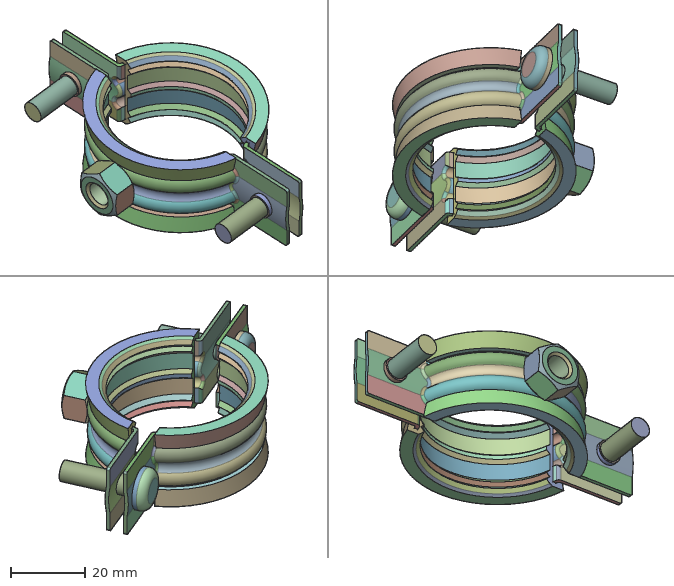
import cadquery as cq
import math

overall_length = 87.0
arc_offset = 1.9
reach = 174.0

strap_height = 20.3
strap_thickness = 1.05
strap_inner_radius = 23.0
strap_outer_radius = strap_inner_radius + strap_thickness
bead_radius = 2.5
bead_center_z = 3.7
bead_center_radius = 23.4
plug_diameter = 3.5
plug_root = 0.4

tab_inner_y = 1.9
tab_outer_y = tab_inner_y + strap_thickness
band_half_height = 4.3
band_rise = 0.4
tab_corner_radius = 0.6
bend_inner_radius = 1.0
bend_outer_radius = 0.8
bend_margin = 0.1
collar_diameter = 7.0
collar_end_y = 4.5

lining_height = 23.2
lining_outer_radius = 26.4
lip_end_radius = 25.4
lip_end_z = 6.7
lining_end_y = 3.8
lining_ribs = [
    (22.8, lining_height / 2),
    (21.9, 11.05),
    (20.9, 10.0),
    (21.9, 8.9),
    (20.9, 7.9),
    (22.0, 6.6),
    (22.0, 1.6),
    (20.9, 0.6),
]

screw_x = 35.0
shank_diameter = 6.0
shank_end_y = -18.9
head_diameter = 12.1
head_seat_y = tab_outer_y + band_rise
head_height = 3.7
head_edge_radius = 2.4

nut_across_flats = 13.0
nut_base_y = -23.05
nut_end_y = -31.1
nut_face_diameter = 11.7
nut_chamfer_angle = 30.0
nut_turn = 30.0
nut_bore_diameter = 6.7
nut_bore_mouth_diameter = 8.2


def half_ring(profile, end_y):
    """Revolve a radius-height profile and keep the half ring beyond end_y, on the +Y side."""
    ring = profile.close().revolve(360, (0, 0, 0), (0, 1, 0)).translate((0, -arc_offset, 0))
    keep = cq.Workplane("XY").box(reach, reach, reach).translate((0, end_y + reach / 2, 0))
    return ring.intersect(keep)


def beaded_edge(profile, depth):
    """Draw the beaded strap surface from top to bottom, `depth` inside the outer surface."""
    base = strap_outer_radius - depth
    bead = bead_radius - depth
    step = bead_center_radius - strap_outer_radius
    groove_outer = (bead_center_z**2 + step**2 - bead_radius**2) / (2 * (bead_radius + step))
    groove_center = strap_outer_radius + groove_outer
    share = bead / (groove_outer + bead_radius)
    tangent_r = bead_center_radius + share * (groove_center - bead_center_radius)
    tangent_z = bead_center_z * (1 - share)
    foot_z = bead_center_z + math.sqrt(bead**2 - (base - bead_center_radius) ** 2)
    crest = bead_center_radius + bead
    return (
        profile.lineTo(base, strap_height / 2)
        .lineTo(base, foot_z)
        .threePointArc((crest, bead_center_z), (tangent_r, tangent_z))
        .threePointArc((base, 0), (tangent_r, -tangent_z))
        .threePointArc((crest, -bead_center_z), (base, -foot_z))
        .lineTo(base, -strap_height / 2)
    )


def ring_fill(depth):
    """Solid half disc bounded by the beaded surface."""
    profile = cq.Workplane("XZ").moveTo(0, strap_height / 2)
    return half_ring(beaded_edge(profile, depth).lineTo(0, -strap_height / 2), -reach / 2)


def band_slab(near_y, far_y):
    """Slab along X from the plane near_y to the raised-band surface at far_y."""
    top = strap_height / 2
    return (
        cq.Workplane("YZ")
        .moveTo(near_y, -top)
        .lineTo(far_y, -top)
        .lineTo(far_y, -band_half_height)
        .threePointArc((far_y + band_rise, 0), (far_y, band_half_height))
        .lineTo(far_y, top)
        .lineTo(near_y, top)
        .close()
        .extrude(overall_length / 2, both=True)
    )


def y_cylinder(diameter, start_y, end_y, x=0):
    return (
        cq.Workplane("XZ", origin=(x, start_y, 0))
        .circle(diameter / 2)
        .extrude(start_y - end_y)
    )


def bend_edges(near_y, far_y):
    """Selector for the edges where the ring bends into the tabs."""
    side = lining_outer_radius
    return cq.selectors.BoxSelector(
        (-side, near_y - bend_margin, -strap_height),
        (side, far_y + bend_margin, strap_height),
    )


def make_strap():
    """Half strap on the +Y side, with plain tabs."""
    below_tabs = band_slab(-reach / 2, tab_inner_y)
    outer = ring_fill(0)
    tabs = band_slab(0, tab_outer_y).edges("|Y").fillet(tab_corner_radius)
    strap = outer.union(tabs).cut(ring_fill(strap_thickness)).cut(below_tabs)
    strap = strap.edges(bend_edges(tab_inner_y, tab_inner_y + band_rise)).fillet(bend_inner_radius)
    return strap.edges(bend_edges(tab_outer_y, tab_outer_y + band_rise)).fillet(bend_outer_radius)


def make_front_strap(strap):
    """Half strap on the -Y side, with screw collars and a hole for the lining plug."""
    front = strap.mirror("XZ")
    for x in (-screw_x, screw_x):
        front = front.union(y_cylinder(collar_diameter, -tab_outer_y, -collar_end_y, x))
    return front.cut(y_cylinder(plug_diameter, -tab_outer_y, -reach / 2))


def make_lining():
    """Rubber half lining on the +Y side, with lips that wrap the strap edges."""
    top = lining_height / 2
    slot = strap_height / 2
    upper = [
        (strap_inner_radius, slot),
        (strap_outer_radius, slot),
        (strap_outer_radius, lip_end_z),
        (lip_end_radius, lip_end_z),
        (lining_outer_radius, top),
    ] + lining_ribs
    lower = [(radius, -z) for radius, z in reversed(upper)]
    return half_ring(cq.Workplane("XZ").polyline(upper + lower), lining_end_y)


def make_front_lining():
    """Half lining on the -Y side, with a plug flush with the strap groove."""
    web_y = arc_offset - strap_inner_radius + plug_root
    groove_y = arc_offset - strap_outer_radius
    plug = y_cylinder(plug_diameter, web_y, groove_y)
    return make_lining().mirror("XZ").union(plug)


def make_screw(x):
    head = y_cylinder(head_diameter, head_seat_y + head_height, head_seat_y, x)
    head = head.faces(">Y").edges().fillet(head_edge_radius)
    return head.union(y_cylinder(shank_diameter, head_seat_y, shank_end_y, x))


def make_nut():
    """Hexagon nut along Y with both ends chamfered and a countersunk through bore."""
    length = nut_base_y - nut_end_y
    across_corners = nut_across_flats / math.cos(math.pi / 6)
    chamfer_run = (across_corners - nut_face_diameter) / 2
    chamfer_rise = chamfer_run * math.tan(math.radians(nut_chamfer_angle))
    base_plane = cq.Workplane("XZ", origin=(0, nut_base_y, 0))
    hexagon = base_plane.polygon(6, across_corners).extrude(length)
    hexagon = hexagon.rotate((0, 0, 0), (0, 1, 0), nut_turn)
    envelope = (
        cq.Workplane("XY")
        .moveTo(0, nut_base_y)
        .lineTo(nut_face_diameter / 2, nut_base_y)
        .lineTo(across_corners / 2, nut_base_y - chamfer_rise)
        .lineTo(across_corners / 2, nut_end_y + chamfer_rise)
        .lineTo(nut_face_diameter / 2, nut_end_y)
        .lineTo(0, nut_end_y)
        .close()
        .revolve(360, (0, 0, 0), (0, 1, 0))
    )
    mouth = (nut_bore_mouth_diameter - nut_bore_diameter) / 2
    nut = hexagon.intersect(envelope).cut(y_cylinder(nut_bore_diameter, nut_base_y, nut_end_y))
    return nut.faces("<Y").edges("%CIRCLE").edges(cq.selectors.RadiusNthSelector(0)).chamfer(mouth)


back_lining = make_lining()
front_lining = make_front_lining()
back_strap = make_strap()
front_strap = make_front_strap(back_strap)

screws = []
for side in (-1, 1):
    screw = make_screw(side * screw_x)
    back_strap = back_strap.cut(screw)
    front_strap = front_strap.cut(screw)
    screws.append(screw.val())

nut = make_nut().cut(front_strap).cut(front_lining)

result = cq.Compound.makeCompound([
    back_strap.val(),
    front_strap.val(),
    back_lining.val(),
    front_lining.val(),
    *screws,
    nut.val(),
])